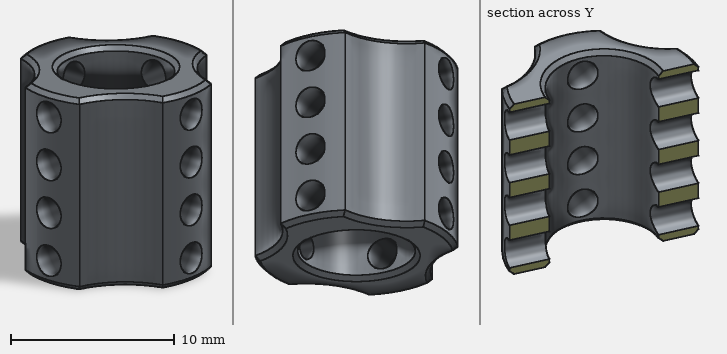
import cadquery as cq

block_unit = 12.5
outer_diameter = block_unit
height = block_unit
bore_diameter = 7.2
edge_chamfer = 0.3

scallop_count = 4
scallop_radius = 5.0
scallop_center_distance = 10.0

cross_hole_diameter = 2.0
holes_per_row = 4
hole_pitch = height / holes_per_row


def scalloped_body():
    """Round column, centred on the origin, with scalloped sides and chamfered ends."""
    first_angle = 180 / scallop_count
    scallops = (
        cq.Workplane("XY")
        .workplane(offset=-height / 2)
        .polarArray(scallop_center_distance, first_angle, 360, scallop_count)
        .circle(scallop_radius)
        .extrude(height)
    )
    column = cq.Workplane("XY").circle(outer_diameter / 2).extrude(height / 2, both=True)
    return column.cut(scallops).faces("<Z or >Z").chamfer(edge_chamfer)


def chamfered_bore():
    """Through bore that widens at 45 degrees at both ends, as a revolved cutter."""
    bore_radius = bore_diameter / 2
    mouth_radius = bore_radius + edge_chamfer
    end = height / 2
    straight_end = end - edge_chamfer
    return (
        cq.Workplane("XZ")
        .moveTo(0, -end)
        .lineTo(mouth_radius, -end)
        .lineTo(bore_radius, -straight_end)
        .lineTo(bore_radius, straight_end)
        .lineTo(mouth_radius, end)
        .lineTo(0, end)
        .close()
        .revolve(360, (0, 0), (0, 1))
    )


def cross_holes(plane):
    """Column of pins along the normal of a vertical plane, passing through both walls."""
    return (
        cq.Workplane(plane)
        .rarray(1, hole_pitch, 1, holes_per_row)
        .circle(cross_hole_diameter / 2)
        .extrude(outer_diameter, both=True)
    )


result = scalloped_body().cut(chamfered_bore())
for plane in ("XZ", "YZ"):
    result = result.cut(cross_holes(plane))